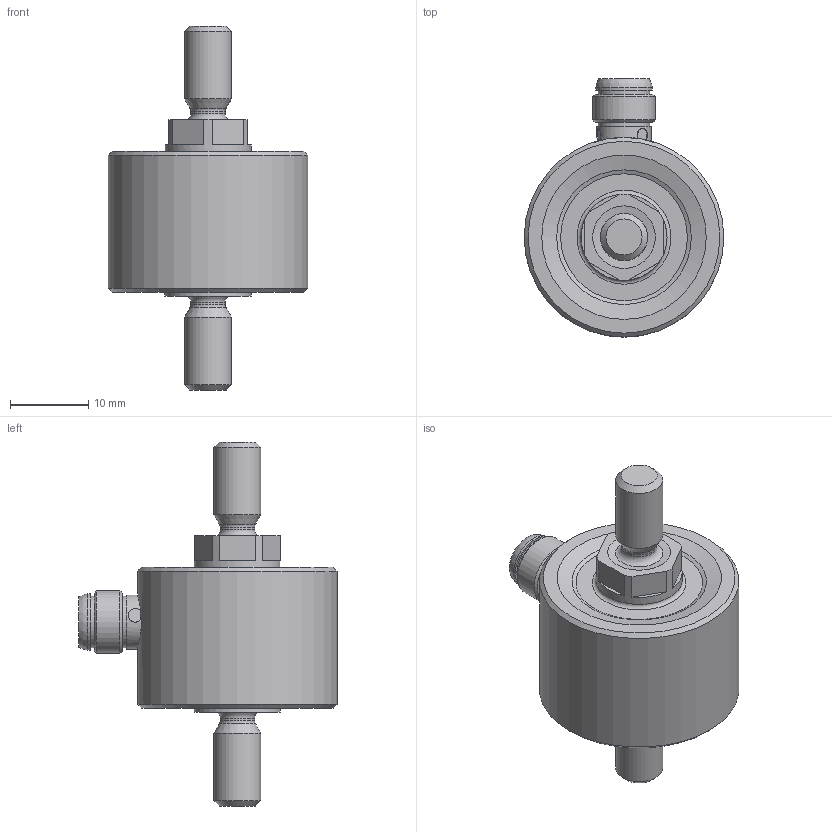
import cadquery as cq
import math

BODY_DIAMETER = 25.5
BODY_HEIGHT = 18.0
BODY_CHAMFER = 0.5

DISH_RIM_DIAMETER = 21.0
DISH_STEP_DIAMETER = 17.2
DISH_FLOOR_DIAMETER = 16.2
DISH_STEP_DEPTH = 0.55
DISH_DEPTH = 0.8

HUB_DIAMETER = 11.0
HUB_HEIGHT = 4.0
HUB_ROOT_FILLET = 0.5
BOSS_HEIGHT = 0.5
HEX_ACROSS_FLATS = 10.0
HEX_FLAT_HEIGHT = 3.2
HEX_SIDES = 6

STUD_LENGTH = 12.0
STUD_DIAMETER = 6.0
STUD_TIP_CHAMFER = 0.7
NECK_DIAMETER = 4.4
NECK_TAPER_START = 2.7
NECK_TAPER_ANGLE = math.radians(30)
NECK_TAPER_FILLET = 0.8
NECK_ROOT_FILLET = 1.0
RECESS_DIAMETER = 8.0
RECESS_ANGLE = math.radians(10)

CONNECTOR_AXIS_HEIGHT = 11.0
CONNECTOR_ROOT_Y = 10.0
CONNECTOR_BASE_END_Y = 14.2
FLANGE_START_Y = 14.7
FLANGE_END_Y = 18.3
LIP_START_Y = 18.8
LIP_CROWN_Y = 19.1
CONNECTOR_END_Y = 20.25
CONNECTOR_BASE_DIAMETER = 6.9
CONNECTOR_NECK_DIAMETER = 6.6
FLANGE_DIAMETER = 8.0
FLANGE_CHAMFER = 0.3
LIP_DIAMETER = 7.2
LIP_END_DIAMETER = 6.4

DIMPLE_COUNT = 3
DIMPLE_DIAMETER = 1.8
DIMPLE_DEPTH = 0.2
DIMPLE_Y = 13.05
DIMPLE_FIRST_ANGLE = 45.0


def make_body():
    """Chamfered drum with the conical dish turned out of its top face."""
    drum = cq.Workplane("XY").circle(BODY_DIAMETER / 2).extrude(BODY_HEIGHT)
    drum = drum.edges().chamfer(BODY_CHAMFER)
    dish = (
        cq.Workplane("XZ")
        .moveTo(0, BODY_HEIGHT)
        .lineTo(DISH_RIM_DIAMETER / 2, BODY_HEIGHT)
        .lineTo(DISH_STEP_DIAMETER / 2, BODY_HEIGHT - DISH_STEP_DEPTH)
        .lineTo(DISH_FLOOR_DIAMETER / 2, BODY_HEIGHT - DISH_DEPTH)
        .lineTo(0, BODY_HEIGHT - DISH_DEPTH)
        .close()
        .revolve(360, (0, 0, 0), (0, 1, 0))
    )
    return drum.cut(dish)


def make_hub():
    """Round hub rising from the dish floor with a fillet, its upper part cut to a hexagon."""
    floor = BODY_HEIGHT - DISH_DEPTH
    top = BODY_HEIGHT + HUB_HEIGHT
    radius = HUB_DIAMETER / 2
    fillet_offset = HUB_ROOT_FILLET * (1 - math.sqrt(0.5))
    hub = (
        cq.Workplane("XZ")
        .moveTo(0, floor)
        .lineTo(radius + HUB_ROOT_FILLET, floor)
        .threePointArc(
            (radius + fillet_offset, floor + fillet_offset),
            (radius, floor + HUB_ROOT_FILLET),
        )
        .lineTo(radius, top)
        .lineTo(0, top)
        .close()
        .revolve(360, (0, 0, 0), (0, 1, 0))
    )
    hex_plane = cq.Workplane("XY").workplane(offset=top - HEX_FLAT_HEIGHT)
    hexagon = hex_plane.polygon(HEX_SIDES, HEX_ACROSS_FLATS, circumscribed=True)
    hexagon = hexagon.extrude(HEX_FLAT_HEIGHT)
    waste = hex_plane.circle(HUB_DIAMETER).extrude(HEX_FLAT_HEIGHT).cut(hexagon)
    return hub.cut(waste)


def make_boss():
    """Low round boss under the body."""
    return cq.Workplane("XY").circle(HUB_DIAMETER / 2).extrude(-BOSS_HEIGHT)


def recess_depth(radius):
    """Depth of the conical recess around the stud at a given radius."""
    return (RECESS_DIAMETER / 2 - radius) * math.tan(RECESS_ANGLE)


def make_recess():
    """Shallow conical recess below z = 0, from which a stud rises."""
    return (
        cq.Workplane("XZ")
        .lineTo(RECESS_DIAMETER / 2, 0)
        .lineTo(0, -recess_depth(0))
        .close()
        .revolve(360, (0, 0, 0), (0, 1, 0))
    )


def make_stud():
    """Stud along +Z whose filleted neck blends into the conical recess below z = 0."""
    stud_radius = STUD_DIAMETER / 2
    neck_radius = NECK_DIAMETER / 2

    root_center_x = neck_radius + NECK_ROOT_FILLET
    root_x = root_center_x - NECK_ROOT_FILLET * math.sin(RECESS_ANGLE)
    root_z = -recess_depth(root_x)
    root_center_z = root_z + NECK_ROOT_FILLET * math.cos(RECESS_ANGLE)
    root_mid_angle = (math.pi / 2 - RECESS_ANGLE) / 2
    root_mid = (
        root_center_x - NECK_ROOT_FILLET * math.cos(root_mid_angle),
        root_center_z - NECK_ROOT_FILLET * math.sin(root_mid_angle),
    )

    taper_center_x = neck_radius + NECK_TAPER_FILLET
    taper_x = taper_center_x - NECK_TAPER_FILLET * math.cos(NECK_TAPER_ANGLE)
    taper_z = NECK_TAPER_START - (stud_radius - taper_x) / math.tan(NECK_TAPER_ANGLE)
    taper_center_z = taper_z - NECK_TAPER_FILLET * math.sin(NECK_TAPER_ANGLE)
    taper_mid = (
        taper_center_x - NECK_TAPER_FILLET * math.cos(NECK_TAPER_ANGLE / 2),
        taper_center_z + NECK_TAPER_FILLET * math.sin(NECK_TAPER_ANGLE / 2),
    )

    return (
        cq.Workplane("XZ")
        .moveTo(0, -recess_depth(0))
        .lineTo(root_x, root_z)
        .threePointArc(root_mid, (neck_radius, root_center_z))
        .lineTo(neck_radius, taper_center_z)
        .threePointArc(taper_mid, (taper_x, taper_z))
        .lineTo(stud_radius, NECK_TAPER_START)
        .lineTo(stud_radius, STUD_LENGTH - STUD_TIP_CHAMFER)
        .lineTo(stud_radius - STUD_TIP_CHAMFER, STUD_LENGTH)
        .lineTo(0, STUD_LENGTH)
        .close()
        .revolve(360, (0, 0, 0), (0, 1, 0))
    )


def add_studs(part):
    """Turn the recesses into the hub and the boss, then set a stud in each."""
    hub_top = (0, 0, BODY_HEIGHT + HUB_HEIGHT)
    boss_face = (0, 0, -BOSS_HEIGHT)
    recess = make_recess()
    stud = make_stud()
    part = part.cut(recess.translate(hub_top)).union(stud.translate(hub_top))
    lower_recess = recess.mirror("XY").translate(boss_face)
    lower_stud = stud.mirror("XY").translate(boss_face)
    return part.cut(lower_recess).union(lower_stud)


def make_connector():
    """Turned connector along +Y: base, neck, chamfered flange, groove and rounded lip."""
    base_radius = CONNECTOR_BASE_DIAMETER / 2
    neck_radius = CONNECTOR_NECK_DIAMETER / 2
    flange_radius = FLANGE_DIAMETER / 2
    lip_radius = LIP_DIAMETER / 2
    lip_end_radius = LIP_END_DIAMETER / 2

    crown_length = CONNECTOR_END_Y - LIP_CROWN_Y
    crown_drop = lip_radius - lip_end_radius
    crown_radius = (crown_length**2 + crown_drop**2) / (2 * crown_drop)
    half_angle = math.asin(crown_length / crown_radius) / 2
    crown_mid = (
        lip_radius - crown_radius * (1 - math.cos(half_angle)),
        LIP_CROWN_Y + crown_radius * math.sin(half_angle),
    )

    connector = (
        cq.Workplane("XY")
        .moveTo(0, CONNECTOR_ROOT_Y)
        .lineTo(base_radius, CONNECTOR_ROOT_Y)
        .lineTo(base_radius, CONNECTOR_BASE_END_Y)
        .lineTo(neck_radius, CONNECTOR_BASE_END_Y)
        .lineTo(neck_radius, FLANGE_START_Y)
        .lineTo(flange_radius - FLANGE_CHAMFER, FLANGE_START_Y)
        .lineTo(flange_radius, FLANGE_START_Y + FLANGE_CHAMFER)
        .lineTo(flange_radius, FLANGE_END_Y - FLANGE_CHAMFER)
        .lineTo(flange_radius - FLANGE_CHAMFER, FLANGE_END_Y)
        .lineTo(neck_radius, FLANGE_END_Y)
        .lineTo(neck_radius, LIP_START_Y)
        .lineTo(lip_radius, LIP_START_Y)
        .lineTo(lip_radius, LIP_CROWN_Y)
        .threePointArc(crown_mid, (lip_end_radius, CONNECTOR_END_Y))
        .lineTo(0, CONNECTOR_END_Y)
        .close()
        .revolve(360, (0, 0, 0), (0, 1, 0))
    )
    return connector.translate((0, 0, CONNECTOR_AXIS_HEIGHT))


def make_dimples():
    """Radial cutters for the dimples, evenly spaced around the connector axis."""
    floor_radius = CONNECTOR_BASE_DIAMETER / 2 - DIMPLE_DEPTH
    cutter = (
        cq.Workplane("XY", origin=(0, DIMPLE_Y, floor_radius))
        .circle(DIMPLE_DIAMETER / 2)
        .extrude(2 * DIMPLE_DEPTH)
    )
    dimples = cq.Workplane("XY")
    for index in range(DIMPLE_COUNT):
        angle = DIMPLE_FIRST_ANGLE + index * 360 / DIMPLE_COUNT
        dimples = dimples.add(cutter.rotate((0, 0, 0), (0, 1, 0), angle))
    return dimples.combine().translate((0, 0, CONNECTOR_AXIS_HEIGHT))


part = make_body().union(make_hub()).union(make_boss())
part = add_studs(part)
connector = make_connector().cut(make_dimples())
result = part.union(connector)